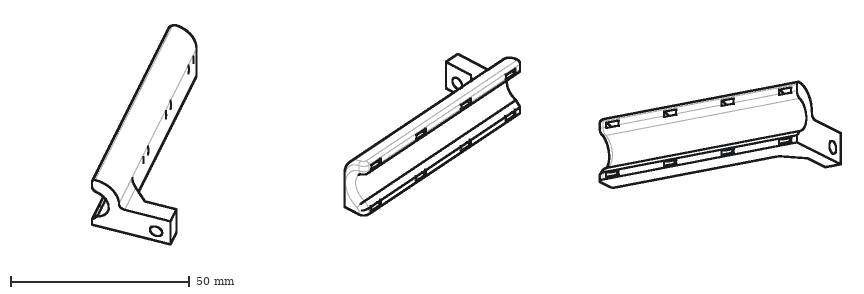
import cadquery as cq
import math

LENGTH = 66.0
WIDTH = 23.4
HEIGHT = 18.15

RAIL_WIDTH = 8.05
TOP_EDGE_RADIUS = 1.0
SHOULDER_RADIUS = RAIL_WIDTH - TOP_EDGE_RADIUS
GROOVE_RADIUS = 5.0
GROOVE_Z = 8.6
LIP_RADIUS = 2.0
CHAMFER_START_Z = 2.1
CHAMFER_DEPTH = 1.6

FOOT_HEIGHT = 9.25
FOOT_THICKNESS = 5.1
FOOT_ROUND = 1.7
GUSSET_END_X = 14.0
GUSSET_ROUND = 2.0
HOLE_DIAMETER = 3.6
HOLE_X = 19.15
HOLE_Z = 3.8

SLOT_INNER_RADIUS = 6.5
SLOT_OUTER_RADIUS = 8.0
SLOT_WIDTH = 4.0
SLOT_START_Y = 1.9
SLOT_PITCH = 19.0
SLOT_COUNT = 4

END_RADIUS = 2.0

PICK_MARGIN = 0.05
PICK_REACH = 0.65


def section():
    """Full XZ outline of rail and foot, extruded over the whole length."""
    lip_z = GROOVE_Z + math.sqrt((GROOVE_RADIUS + LIP_RADIUS) ** 2 - LIP_RADIUS**2)
    lip_share = GROOVE_RADIUS / (GROOVE_RADIUS + LIP_RADIUS)
    lip_end = (LIP_RADIUS * lip_share, GROOVE_Z + (lip_z - GROOVE_Z) * lip_share)
    groove_end_z = GROOVE_Z - math.sqrt(GROOVE_RADIUS**2 - CHAMFER_DEPTH**2)

    top_edge_z = HEIGHT - SHOULDER_RADIUS + math.sqrt(SHOULDER_RADIUS**2 - TOP_EDGE_RADIUS**2)

    outline = (
        cq.Workplane("XZ")
        .moveTo(0, 0)
        .lineTo(WIDTH, 0)
        .lineTo(WIDTH, FOOT_HEIGHT)
        .lineTo(RAIL_WIDTH + FOOT_ROUND, FOOT_HEIGHT)
        .radiusArc((RAIL_WIDTH, FOOT_HEIGHT + FOOT_ROUND), FOOT_ROUND)
        .lineTo(RAIL_WIDTH, HEIGHT - SHOULDER_RADIUS)
        .radiusArc((0, top_edge_z), -SHOULDER_RADIUS)
        .lineTo(0, lip_z)
        .radiusArc(lip_end, -LIP_RADIUS)
        .threePointArc((GROOVE_RADIUS, GROOVE_Z), (CHAMFER_DEPTH, groove_end_z))
        .lineTo(0, CHAMFER_START_Z)
        .close()
    )
    return outline.extrude(-LENGTH)


def plan():
    """XY outline that trims the foot to its thickness and gusset."""
    corner_y = FOOT_THICKNESS + GUSSET_END_X - RAIL_WIDTH
    tangent = GUSSET_ROUND * math.tan(math.radians(22.5))
    slope_step = tangent * math.cos(math.radians(45))
    return (
        cq.Workplane("XY")
        .moveTo(0, 0)
        .lineTo(WIDTH, 0)
        .lineTo(WIDTH, FOOT_THICKNESS)
        .lineTo(GUSSET_END_X, FOOT_THICKNESS)
        .lineTo(RAIL_WIDTH + slope_step, corner_y - slope_step)
        .radiusArc((RAIL_WIDTH, corner_y + tangent), GUSSET_ROUND)
        .lineTo(RAIL_WIDTH, LENGTH)
        .lineTo(0, LENGTH)
        .close()
        .extrude(HEIGHT)
    )


def round_edges(body):
    """Round the far end on the groove side, then the rim along the top and around the end."""
    groove_side = cq.selectors.BoxSelector(
        (-PICK_REACH, LENGTH - PICK_REACH, PICK_MARGIN),
        (GROOVE_RADIUS, LENGTH + PICK_REACH, HEIGHT - TOP_EDGE_RADIUS),
    )
    body = body.faces(">Y").edges(groove_side).fillet(END_RADIUS)
    top_rim = cq.selectors.BoxSelector(
        (-PICK_MARGIN, PICK_REACH, HEIGHT - PICK_REACH),
        (PICK_MARGIN, LENGTH - PICK_REACH, HEIGHT + PICK_MARGIN),
    )
    body = body.edges(top_rim).fillet(TOP_EDGE_RADIUS)
    return body.newObject([body.val().fix()])


def tie_slot(start_y):
    return (
        cq.Workplane("XZ", origin=(0, start_y, GROOVE_Z))
        .circle(SLOT_OUTER_RADIUS)
        .circle(SLOT_INNER_RADIUS)
        .extrude(-SLOT_WIDTH)
    )


def bolt_hole():
    return (
        cq.Workplane("XZ", origin=(HOLE_X, 0, HOLE_Z))
        .circle(HOLE_DIAMETER / 2)
        .extrude(-FOOT_THICKNESS)
    )


result = round_edges(section().intersect(plan())).cut(bolt_hole())
for index in range(SLOT_COUNT):
    result = result.cut(tie_slot(SLOT_START_Y + index * SLOT_PITCH))